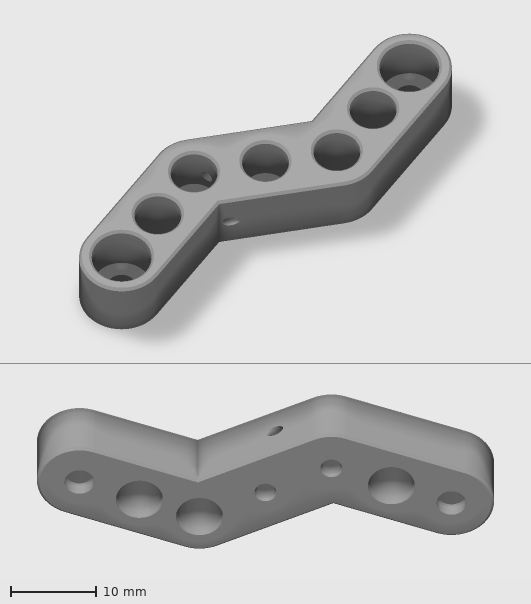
import cadquery as cq
import math

length = 52.0
width = 22.0
thickness = 8.0
arm_width = 10.0
edge_chamfer = 0.3
hole_pitch = 7.5

wide_pocket_diameter = 7.0
wide_bore_diameter = 3.5
pocket_diameter = 5.5
bore_diameter = 2.6
pocket_floor = 2.0
side_hole_diameter = 1.5

arm_radius = arm_width / 2
arm_x = (width - arm_width) / 2
end_y = (length - arm_width) / 2
bend_y = end_y - 2 * hole_pitch
diagonal_angle = math.degrees(math.atan2(bend_y, arm_x))
diagonal_length = 2 * math.hypot(arm_x, bend_y)

lower_end = (-arm_x, -end_y)
lower_middle = (-arm_x, -end_y + hole_pitch)
lower_bend = (-arm_x, -bend_y)
center = (0, 0)
upper_bend = (arm_x, bend_y)
upper_middle = (arm_x, end_y - hole_pitch)
upper_end = (arm_x, end_y)


def bar(middle, center_distance, angle):
    """Round-ended bar along one segment of the centre line, standing on z = 0."""
    return (
        cq.Workplane("XY")
        .center(*middle)
        .slot2D(center_distance + arm_width, arm_width, angle)
        .extrude(thickness)
    )


def chamfered_cutter(point, diameter, floor):
    """Round cutter from the given floor up to the top face, with a chamfered rim."""
    cutter = cq.Workplane("XY", origin=(*point, floor)).circle(diameter / 2).extrude(thickness - floor)
    rim = (
        cq.Workplane("XY", origin=(*point, thickness))
        .circle(diameter / 2 + edge_chamfer)
        .extrude(-edge_chamfer, taper=45)
    )
    return cutter.union(rim)


def stepped_cutter(point, pocket, bore):
    """Pocket open at the top with a smaller bore through its floor."""
    through_bore = cq.Workplane("XY", origin=(*point, 0)).circle(bore / 2).extrude(thickness)
    return chamfered_cutter(point, pocket, pocket_floor).union(through_bore)


def side_cutter(point, direction):
    """Horizontal hole from a pocket centre out through the diagonal side, along +Y or -Y."""
    start = cq.Vector(*point, thickness / 2)
    drill = cq.Solid.makeCylinder(side_hole_diameter / 2, arm_width, start, cq.Vector(0, direction, 0))
    return cq.Workplane(obj=drill)


arm_middle_y = (end_y + bend_y) / 2
body = bar((-arm_x, -arm_middle_y), 2 * hole_pitch, 90)
body = body.union(bar((arm_x, arm_middle_y), 2 * hole_pitch, 90))
body = body.union(bar(center, diagonal_length, diagonal_angle)).clean()
body = body.faces("<Z or >Z").chamfer(edge_chamfer)

for point in (lower_middle, upper_bend, upper_middle):
    body = body.cut(chamfered_cutter(point, pocket_diameter, 0))

for point in (lower_end, upper_end):
    body = body.cut(stepped_cutter(point, wide_pocket_diameter, wide_bore_diameter))
for point in (lower_bend, center):
    body = body.cut(stepped_cutter(point, pocket_diameter, bore_diameter))

body = body.cut(side_cutter(lower_bend, 1))
body = body.cut(side_cutter(center, -1))

result = body